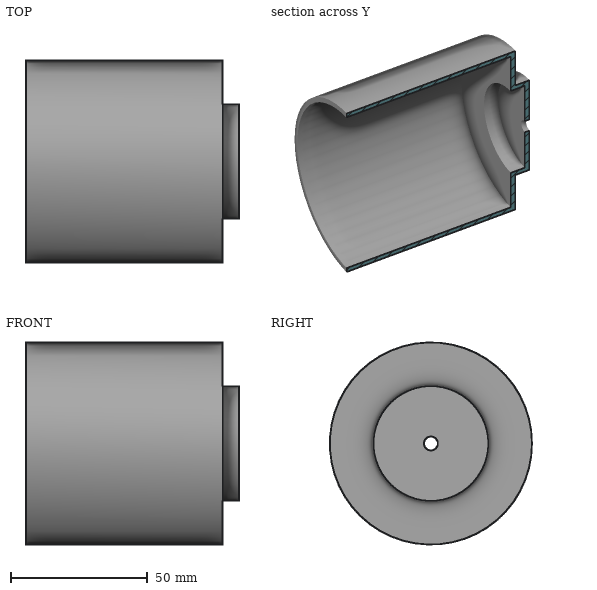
import cadquery as cq

total_length = 78.0
cup_diameter = 74.0
boss_length = 6.0
boss_diameter = 42.0
wall = 2.0
hole_diameter = 5.0

cup_length = total_length - boss_length


def cylinder(diameter, start, end):
    """Solid cylinder on the X axis between two X positions."""
    return cq.Workplane("YZ").workplane(offset=start).circle(diameter / 2).extrude(end - start)


outside = cylinder(cup_diameter, 0, cup_length).union(
    cylinder(boss_diameter, cup_length, total_length)
)

cup_cavity = cylinder(cup_diameter - 2 * wall, 0, cup_length - wall)
boss_cavity = cylinder(boss_diameter - 2 * wall, 0, total_length - wall)

center_hole = cylinder(hole_diameter, 0, total_length)

result = outside.cut(cup_cavity).cut(boss_cavity).cut(center_hole)